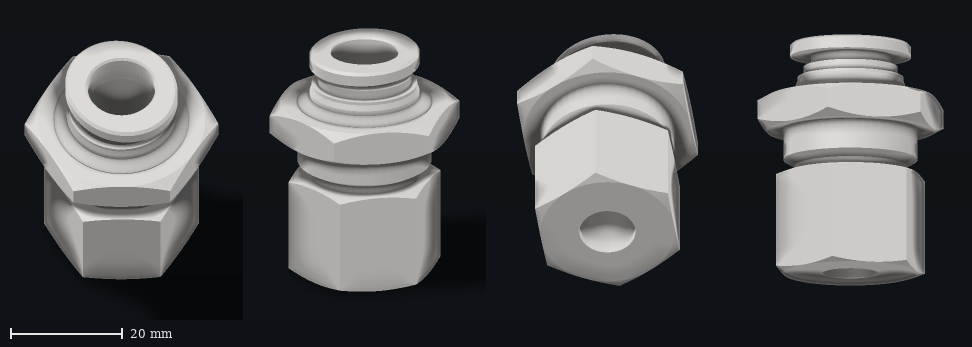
import cadquery as cq
import math

TOTAL_HEIGHT = 41.7
HEX_SIDES = 6
HEX_HALF_ANGLE = math.pi / HEX_SIDES
CONE_SLOPE = math.tan(math.radians(30))

FLANGE_LENGTH_X = 21.75
FLANGE_WIDTH_Y = 19.5
FLANGE_THICKNESS = 2.4
FLANGE_CHAMFER = 0.5
COLLET_TUBE_DIAMETER = 14.2
COLLET_BORE_DIAMETER = 12.15
COLLET_BORE_CHAMFER = 0.38
COLLET_END_Z = 35.8

COLLAR_DIAMETER = 16.9
COLLAR_TOP_Z = 37.45
SHOULDER_DIAMETER = 18.9
SHOULDER_TOP_Z = 35.6
SHOULDER_HEIGHT = 0.6
RIM_DIAMETER = 19.7
RIM_TOP_Z = 34.03
RIM_BOTTOM_Z = 33.1
THREAD_DIAMETER = 24.0
THREAD_BOTTOM_Z = 20.65
NECK_DIAMETER = 20.0
BODY_HEX_FLATS = 24.0
BODY_HEX_HEIGHT = 18.0
BODY_HEX_CHAMFER_ANGLE = 20.0
TUBE_SOCKET_DIAMETER = 12.2
TUBE_STOP_Z = BODY_HEX_HEIGHT
THROUGH_BORE_DIAMETER = 10.0

NUT_FLATS = 30.0
NUT_HEIGHT = 6.05
NUT_BOTTOM_Z = 25.85
NUT_CHAMFER_ANGLE = 30.0
NUT_BORE_CHAMFER = 0.2


def cylinder(diameter, bottom_z, top_z):
    return cq.Workplane("XY").workplane(offset=bottom_z).circle(diameter / 2).extrude(top_z - bottom_z)


def chamfered_hexagon(across_flats, bottom_z, height, chamfer_angle):
    """Hexagonal prism with corners on the X axis, its ends turned to cones that touch the flats."""
    across_corners = across_flats / math.cos(HEX_HALF_ANGLE)
    flat_radius = across_flats / 2
    corner_radius = across_corners / 2
    corner_drop = (corner_radius - flat_radius) * math.tan(math.radians(chamfer_angle))
    prism = cq.Workplane("XY").polygon(HEX_SIDES, across_corners).extrude(height)
    turned_envelope = (
        cq.Workplane("XZ")
        .moveTo(0, 0)
        .lineTo(flat_radius, 0)
        .lineTo(corner_radius, corner_drop)
        .lineTo(corner_radius, height - corner_drop)
        .lineTo(flat_radius, height)
        .lineTo(0, height)
        .close()
        .revolve(360, (0, 0, 0), (0, 1, 0))
    )
    return prism.intersect(turned_envelope).translate((0, 0, bottom_z))


def make_collet():
    flange_bottom_z = TOTAL_HEIGHT - FLANGE_THICKNESS
    flange = (
        cq.Workplane("XY")
        .workplane(offset=flange_bottom_z)
        .ellipse(FLANGE_LENGTH_X / 2, FLANGE_WIDTH_Y / 2)
        .extrude(FLANGE_THICKNESS)
        .faces(">Z")
        .chamfer(FLANGE_CHAMFER)
    )
    tube = cylinder(COLLET_TUBE_DIAMETER, COLLET_END_Z, flange_bottom_z)
    bore = cylinder(COLLET_BORE_DIAMETER, COLLET_END_Z, TOTAL_HEIGHT)
    collet = flange.union(tube).cut(bore)
    bore_rim = cq.selectors.RadiusNthSelector(0)
    return collet.faces(">Z").edges(bore_rim).chamfer(COLLET_BORE_CHAMFER)


def make_body_sleeve():
    """Turned outside of the body, from the hexagon up to the collar."""
    neck_radius = NECK_DIAMETER / 2
    thread_radius = THREAD_DIAMETER / 2
    rim_radius = RIM_DIAMETER / 2
    shoulder_radius = SHOULDER_DIAMETER / 2
    collar_radius = COLLAR_DIAMETER / 2
    thread_top_z = RIM_BOTTOM_Z - (thread_radius - rim_radius) * CONE_SLOPE
    neck_top_z = THREAD_BOTTOM_Z - (thread_radius - neck_radius) * CONE_SLOPE
    return (
        cq.Workplane("XZ")
        .moveTo(0, BODY_HEX_HEIGHT)
        .lineTo(neck_radius, BODY_HEX_HEIGHT)
        .lineTo(neck_radius, neck_top_z)
        .lineTo(thread_radius, THREAD_BOTTOM_Z)
        .lineTo(thread_radius, thread_top_z)
        .lineTo(rim_radius, RIM_BOTTOM_Z)
        .lineTo(rim_radius, RIM_TOP_Z)
        .lineTo(shoulder_radius, SHOULDER_TOP_Z - SHOULDER_HEIGHT)
        .lineTo(shoulder_radius, SHOULDER_TOP_Z)
        .lineTo(collar_radius, SHOULDER_TOP_Z)
        .lineTo(collar_radius, COLLAR_TOP_Z)
        .lineTo(0, COLLAR_TOP_Z)
        .close()
        .revolve(360, (0, 0, 0), (0, 1, 0))
    )


def make_body():
    hexagon = chamfered_hexagon(BODY_HEX_FLATS, 0, BODY_HEX_HEIGHT, BODY_HEX_CHAMFER_ANGLE)
    collet_recess = cylinder(COLLET_TUBE_DIAMETER, COLLET_END_Z, COLLAR_TOP_Z)
    tube_socket = cylinder(TUBE_SOCKET_DIAMETER, TUBE_STOP_Z, COLLET_END_Z)
    through_bore = cylinder(THROUGH_BORE_DIAMETER, 0, TUBE_STOP_Z)
    outside = hexagon.union(make_body_sleeve())
    return outside.cut(collet_recess).cut(tube_socket).cut(through_bore)


def make_nut():
    hexagon = chamfered_hexagon(NUT_FLATS, NUT_BOTTOM_Z, NUT_HEIGHT, NUT_CHAMFER_ANGLE)
    bore = cylinder(THREAD_DIAMETER, NUT_BOTTOM_Z, NUT_BOTTOM_Z + NUT_HEIGHT)
    bore_rims = cq.selectors.RadiusNthSelector(0)
    return hexagon.cut(bore).edges("%CIRCLE").edges(bore_rims).chamfer(NUT_BORE_CHAMFER)


collet = make_collet()
body = make_body()
nut = make_nut()

result = cq.Compound.makeCompound([collet.val(), body.val(), nut.val()])